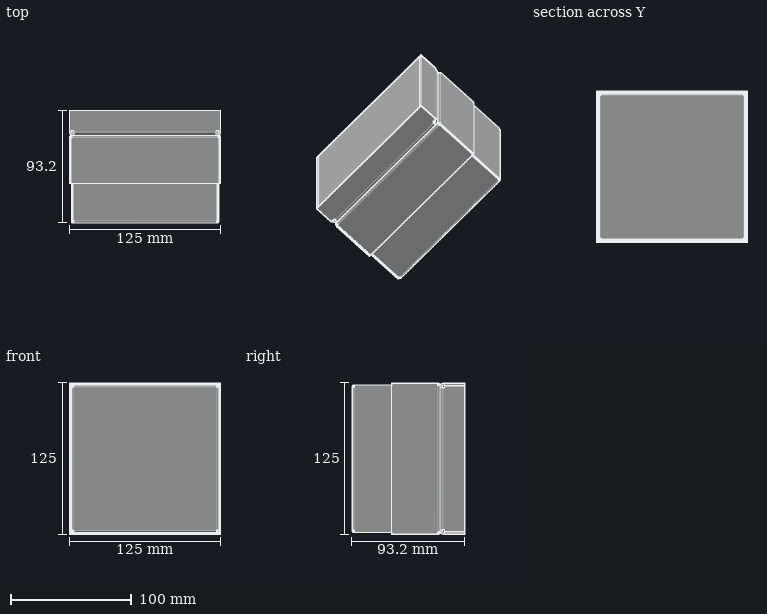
import cadquery as cq

OVERALL_WIDTH = 125.0
OVERALL_DEPTH = 93.2
TRAY_DEPTH = 20.6
SLEEVE_DEPTH = 40.0
TRAY_SHEET = 2.0
BOX_SHEET = 1.0
BEND_RADIUS = 0.6
SLIDE_GAP = 0.5
CORNER_SEAM = 0.2
TRAY_RELIEF = 3.6
BOX_RELIEF = 1.9

BACK_Y = OVERALL_DEPTH / 2
FRONT_Y = -BACK_Y
JOINT_Y = BACK_Y - TRAY_DEPTH
SLEEVE_FLOOR_Y = JOINT_Y - BOX_SHEET
FRONT_BOX_WIDTH = OVERALL_WIDTH - 2 * (BOX_SHEET + SLIDE_GAP)
FRONT_BOX_DEPTH = SLEEVE_FLOOR_Y - BEND_RADIUS - FRONT_Y


def folded_tray(width, depth, sheet, relief):
    """Square sheet-metal tray: face plate on Z = 0, four walls bent up along +Z.

    The two walls that run along X span the full width; the two that run along Y
    fit between them, with a seam at each end. A square relief frees each corner.
    """
    half = width / 2
    inner_width = width - 2 * sheet
    outside = (
        cq.Workplane("XY").box(width, width, depth, centered=(True, True, False))
        .faces("<Z").edges().fillet(BEND_RADIUS + sheet)
    )
    cavity = (
        cq.Workplane("XY", origin=(0, 0, sheet))
        .box(inner_width, inner_width, depth, centered=(True, True, False))
        .faces("<Z").edges().fillet(BEND_RADIUS)
    )
    tray = outside.cut(cavity)

    for x_side in (-1, 1):
        for y_side in (-1, 1):
            corner_relief = (
                cq.Workplane("XY").box(2 * relief, 2 * relief, 2 * relief)
                .translate((x_side * half, y_side * half, 0))
            )
            seam_x = x_side * (half - sheet / 2)
            seam_y = y_side * (half - sheet - CORNER_SEAM / 2)
            seam_slot = (
                cq.Workplane("XY").box(sheet, CORNER_SEAM, depth, centered=(True, True, False))
                .translate((seam_x, seam_y, 0))
            )
            tray = tray.cut(corner_relief).cut(seam_slot)
    return tray


def make_rear_tray():
    """Opens to the back; its top and bottom walls run the full width."""
    tray = folded_tray(OVERALL_WIDTH, TRAY_DEPTH, TRAY_SHEET, TRAY_RELIEF)
    return tray.rotate((0, 0, 0), (1, 0, 0), -90).translate((0, JOINT_Y, 0))


def make_sleeve():
    """Opens to the front, back to back with the tray; its side walls run the full height."""
    tray = folded_tray(OVERALL_WIDTH, SLEEVE_DEPTH, BOX_SHEET, BOX_RELIEF)
    upright = tray.rotate((0, 0, 0), (0, 0, 1), 90)
    return upright.rotate((0, 0, 0), (1, 0, 0), 90).translate((0, JOINT_Y, 0))


def make_front_box():
    """Closed at the front and slid into the sleeve; its side walls run the full height."""
    tray = folded_tray(FRONT_BOX_WIDTH, FRONT_BOX_DEPTH, BOX_SHEET, BOX_RELIEF)
    upright = tray.rotate((0, 0, 0), (0, 0, 1), 90)
    return upright.rotate((0, 0, 0), (1, 0, 0), -90).translate((0, FRONT_Y, 0))


def make_back_cover():
    """Flat plate let into the open back of the rear tray, flush with its rim."""
    opening = OVERALL_WIDTH - 2 * TRAY_SHEET
    return cq.Workplane("XY").box(opening, TRAY_SHEET, opening).translate((0, BACK_Y - TRAY_SHEET / 2, 0))


rear_tray = make_rear_tray()
back_cover = make_back_cover()
sleeve = make_sleeve()
front_box = make_front_box()

result = cq.Compound.makeCompound([rear_tray.val(), back_cover.val(), sleeve.val(), front_box.val()])